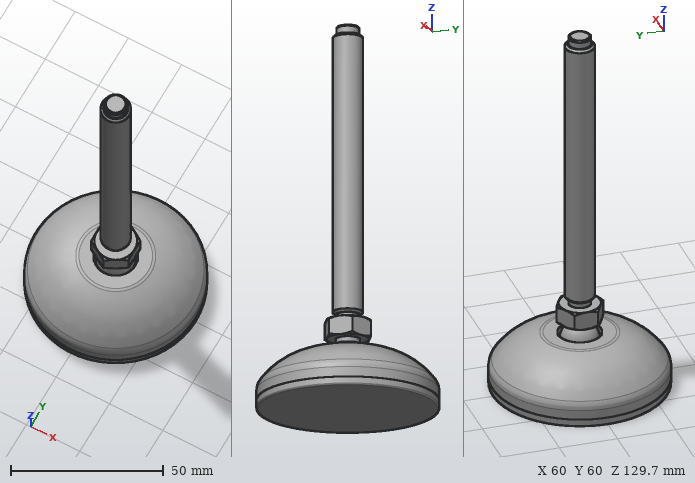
import cadquery as cq
import math

total_height = 129.7

base_diameter = 60.0
pad_height = 2.7
pad_edge_radius = 0.5

foot_side_top = 6.1
shoulder_top = 9.0
shoulder_radius = 28.9
foot_top = 19.1
crown_outer_radius = 13.1
crown_flat_radius = 12.0
crown_drop = 0.1
dome_bulge = 1.7

ball_diameter = 13.2
ball_depth = 2.5
socket_bore_diameter = 14.7

neck_diameter = 8.0
hex_bottom = 23.6
hex_height = 6.4
hex_flats = 14.0
hex_bevel_angle = 30.0
relief_diameter = 7.5
thread_diameter = 10.0
thread_bottom = 31.9
thread_chamfer = 0.9
tip_length = 2.9
tip_chamfer = 0.5

base_radius = base_diameter / 2
ball_radius = ball_diameter / 2
ball_center = foot_top - ball_depth
hex_top = hex_bottom + hex_height
thread_top = total_height - tip_length


def cylinder(diameter, bottom, top):
    """Upright cylinder on the Z axis between two heights."""
    return cq.Workplane("XY").workplane(offset=bottom).circle(diameter / 2).extrude(top - bottom)


def ball():
    """Sphere shared by the stud end and its seat in the foot."""
    return cq.Workplane("XY").sphere(ball_radius).translate((0, 0, ball_center))


def make_pad():
    """Flat disc with a rounded lower rim."""
    return cylinder(base_diameter, 0, pad_height).faces("<Z").edges().fillet(pad_edge_radius)


def make_foot():
    """Domed disc with an open ball socket in its crown."""
    crown_edge_height = foot_top - crown_drop
    dome_run = shoulder_radius - crown_outer_radius
    dome_rise = crown_edge_height - shoulder_top
    dome_chord = math.hypot(dome_run, dome_rise)
    dome_middle = (
        (shoulder_radius + crown_outer_radius) / 2 + dome_bulge * dome_rise / dome_chord,
        (shoulder_top + crown_edge_height) / 2 + dome_bulge * dome_run / dome_chord,
    )
    body = (
        cq.Workplane("XZ")
        .moveTo(0, pad_height)
        .lineTo(base_radius, pad_height)
        .lineTo(base_radius, foot_side_top)
        .tangentArcPoint((shoulder_radius, shoulder_top), relative=False)
        .threePointArc(dome_middle, (crown_outer_radius, crown_edge_height))
        .lineTo(crown_flat_radius, foot_top)
        .lineTo(0, foot_top)
        .close()
        .revolve(360, (0, 0, 0), (0, 1, 0))
    )
    bore = cylinder(socket_bore_diameter, ball_center, foot_top)
    return body.cut(bore).cut(ball())


def make_hex():
    """Hexagonal collar with corners on the Y axis, bevelled at both ends."""
    corner_radius = hex_flats / math.sqrt(3)
    flat_radius = hex_flats / 2
    bevel_height = (corner_radius - flat_radius) * math.tan(math.radians(hex_bevel_angle))
    prism = (
        cq.Workplane("XY")
        .workplane(offset=hex_bottom)
        .polygon(6, 2 * corner_radius)
        .extrude(hex_height)
        .rotate((0, 0, 0), (0, 0, 1), 30)
    )
    bevel_envelope = (
        cq.Workplane("XZ")
        .moveTo(0, hex_bottom)
        .lineTo(flat_radius, hex_bottom)
        .lineTo(corner_radius, hex_bottom + bevel_height)
        .lineTo(corner_radius, hex_top - bevel_height)
        .lineTo(flat_radius, hex_top)
        .lineTo(0, hex_top)
        .close()
        .revolve(360, (0, 0, 0), (0, 1, 0))
    )
    return prism.intersect(bevel_envelope)


def make_stud():
    """Ball, neck, hexagon, relief, threaded shaft and tip in one piece."""
    neck = cylinder(neck_diameter, ball_center, hex_bottom)
    relief = cylinder(relief_diameter, hex_top, thread_bottom)
    shaft = cylinder(thread_diameter, thread_bottom, thread_top)
    shaft = shaft.faces("<Z or >Z").edges().chamfer(thread_chamfer)
    tip = cylinder(relief_diameter, thread_top, total_height).faces(">Z").edges().chamfer(tip_chamfer)
    return ball().union(neck).union(make_hex()).union(relief).union(shaft).union(tip)


pad = make_pad()
foot = make_foot()
stud = make_stud()

result = cq.Compound.makeCompound([pad.val(), foot.val(), stud.val()])